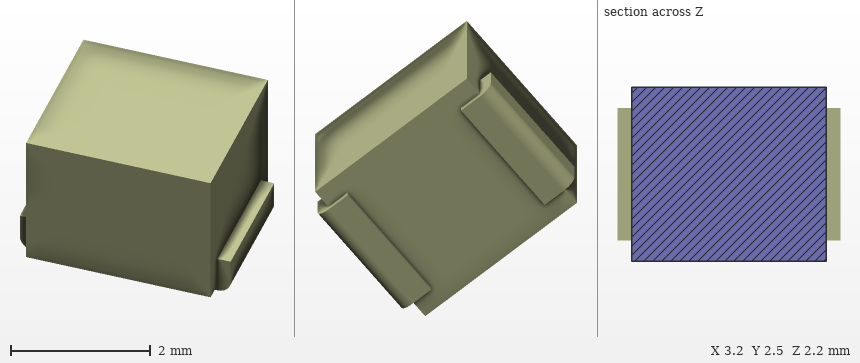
import cadquery as cq
import math

body_length = 2.8
body_width = 2.5
body_height = 2.1

overall_length = 3.2
standoff = 0.1
terminal_width = 1.9
terminal_height = 0.58
foot_length = 0.55

leg_thickness = (overall_length - body_length) / 2
bend_radius = leg_thickness


def make_body():
    """Plain block whose underside is one standoff above the seating plane."""
    return (
        cq.Workplane("XY")
        .workplane(offset=standoff)
        .box(body_length, body_width, body_height, centered=(True, True, False))
    )


def make_left_terminal():
    """L-shaped terminal: a leg against the -X face, rounded into a foot under the body."""
    outer_x = -overall_length / 2
    body_x = -body_length / 2
    foot_end_x = outer_x + foot_length
    bend_mid_offset = bend_radius * (1 - math.sqrt(0.5))
    return (
        cq.Workplane("XZ")
        .moveTo(body_x, terminal_height)
        .lineTo(outer_x, terminal_height)
        .lineTo(outer_x, bend_radius)
        .threePointArc(
            (outer_x + bend_mid_offset, bend_mid_offset),
            (outer_x + bend_radius, 0),
        )
        .lineTo(foot_end_x, 0)
        .lineTo(foot_end_x, standoff)
        .lineTo(body_x, standoff)
        .close()
        .extrude(terminal_width / 2, both=True)
    )


left_terminal = make_left_terminal()
right_terminal = left_terminal.mirror("YZ")
result = make_body().union(left_terminal).union(right_terminal)